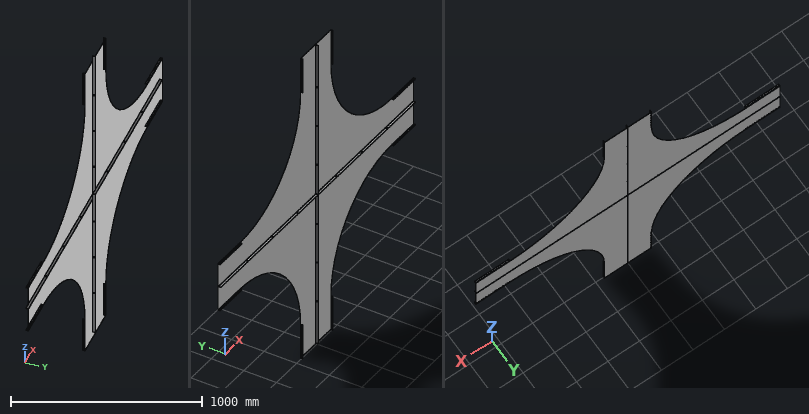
import cadquery as cq

span = 1934.0
depth = 15.7
arm_width = 300.0
corner_radius = 600.0
sheet = 1.5
panel_count = 4

joint_setback = 4.0
hole_diameter = 5.0
first_hole = 191.0
hole_pitch = 250.0
hole_count = 3

edge_depth = 14.0
hem_length = 8.0
hem_width = 2 * sheet

half_span = span / 2
half_arm = arm_width / 2
curve_end = half_arm + corner_radius
curve_mid = curve_end - corner_radius / 2 ** 0.5
back_y = depth / 2


def swap_x_and_z(shape):
    """The same shape on the neighbouring arm, with X and Z exchanged."""
    return shape.mirror("XY").rotate((0, 0, 0), (0, 1, 0), -90)


def bar(start_x, end_x, outer_z, width, start_depth, end_depth):
    """Bar along X, reaching inward from outer_z, between two depths below the back face."""
    return (
        cq.Workplane("XY")
        .box(end_x - start_x, end_depth - start_depth, width, centered=False)
        .translate((start_x, back_y - end_depth, outer_z - width))
    )


def plate():
    """Flat quarter of the cross in the +X +Z quadrant, with its concave outer curve."""
    outline = (
        cq.Workplane("XZ", origin=(0, back_y, 0))
        .lineTo(half_span, 0)
        .lineTo(half_span, half_arm)
        .lineTo(curve_end, half_arm)
        .threePointArc((curve_mid, curve_mid), (half_arm, curve_end))
        .lineTo(half_arm, half_span)
        .lineTo(0, half_span)
        .close()
    )
    return outline.extrude(sheet)


def joint_flange():
    """Flange along the X centre line, bolted to the neighbouring panel."""
    flange = bar(0, half_span - joint_setback, sheet, sheet, 0, depth)
    holes = (
        cq.Workplane("XY")
        .pushPoints([(first_hole + i * hole_pitch, 0) for i in range(hole_count)])
        .circle(hole_diameter / 2)
        .extrude(sheet)
    )
    return flange.cut(holes)


def edge_flange():
    """Flange on the straight outer edge of the X arm, with its front edge folded inward."""
    wall = bar(curve_end, half_span, half_arm, sheet, 0, edge_depth)
    hem = bar(curve_end, half_span, half_arm, hem_width, edge_depth - hem_length, edge_depth)
    return wall.union(hem)


def quarter_panel():
    """One flanged sheet panel of the cross."""
    panel = plate()
    for flange in (joint_flange(), edge_flange()):
        panel = panel.union(flange).union(swap_x_and_z(flange))
    return panel


panel = quarter_panel()
panels = [panel.rotate((0, 0, 0), (0, 1, 0), i * 360 / panel_count) for i in range(panel_count)]

result = cq.Compound.makeCompound([p.val() for p in panels])